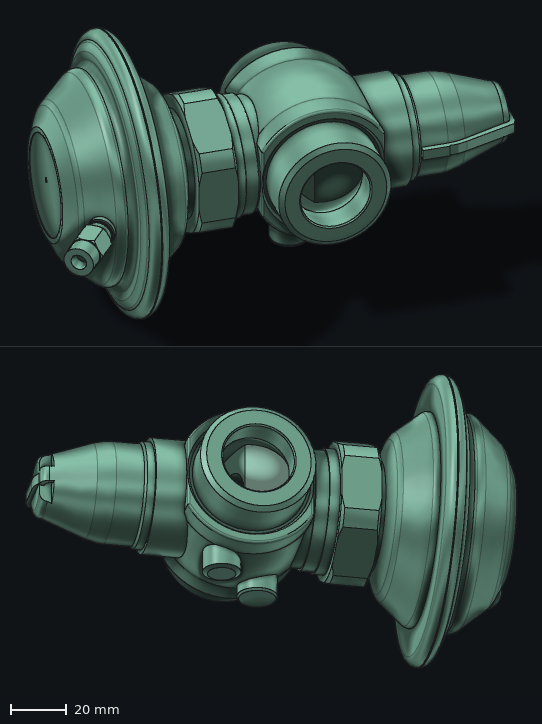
import math

import cadquery as cq


CAP_END_Y = 74.3
CAP_END_RADIUS = 8.7
CAP_CORNER_Y = 71.4
CAP_CORNER_RADIUS = 11.5
CAP_CONE_Y = 55.0
CAP_CONE_RADIUS = 17.3
CAP_SIDE_Y = 48.2
CAP_RADIUS = 18.5
CAP_BOTTOM_Y = 38.0
COLLAR_RADIUS = 19.5
COLLAR_CHAMFER = 1.0
COLLAR_BOTTOM_Y = 34.2

FIN_WIDTH = 4.0
FIN_TOP_Y = 76.0
FIN_PAD_RADIUS = 20.8
FIN_RADIUS = 20.2
FIN_STRAIGHT_Y = 51.3
FIN_START = (-7.0, 74.1)
FIN_RISE = (-4.2, 75.4)
FIN_TOP_START_X = -1.1
FIN_TOP_END_X = 10.2
FIN_CORNER = (12.7, 74.8)
FIN_CONE_RADIUS = 19.3

EYE_FLOOR_Y = 69.7
EYE_WALL_X = -7.0
EYE_HANDLE_WIDTH = 5.8
EYE_HANDLE_THICKNESS = 1.6

STEM_RADIUS = 21.1
STEM_BOTTOM_Y = -24.0
NECK_RADIUS = 22.0
NECK_BOTTOM_Y = -29.0
FLANGE_RADIUS = 22.8
JOINT_Y = -32.8

BARREL_RADIUS = 29.0
BARREL_HALF_LENGTH = 14.0
SHOULDER_RADIUS = 26.8
SHOULDER_X = 23.0
SHOULDER_HALF_HEIGHT = 23.1
SHOULDER_FILLET = 1.0
PORT_RADIUS = 21.1
PORT_X = 37.7
PORT_CHAMFER_LENGTH = 1.3
PORT_CHAMFER_DEPTH = 2.0
RECESS_RADIUS = 23.3
RECESS_FLOOR_RADIUS = 22.2
RECESS_DEPTH = 1.6
BORE_RADIUS = 13.1
BORE_CHAMFER = 0.5

CHAMBER_X = 27.3
CHAMBER_RADIUS = 19.1
SEAT_RADIUS = 11.0
WEB_TOP_Y = 6.5
WEB_HALF_OUTLINE = [(-21.8, -18.2), (-11.8, 0), (11.8, WEB_TOP_Y), (18.2, 19.1)]

REAR_PLUG = (-8.2, 7.8, 7.0, -32.8, 0.7, 1.8)
FRONT_PLUG = (8.2, -8.4, 7.3, -33.1, 1.0, 0.5)

NUT_ACROSS_FLATS = 50.5
NUT_CORNER_RADIUS = 27.3
NUT_BOTTOM_Y = -47.5
NUT_CHAMFER_LENGTH = 1.1
NUT_CHAMFER_DEPTH = 1.6

SPIGOT_RADIUS = 20.2
DOME_TOP_Y = -49.9
RIM_TOP_Y = -66.3
RIM_THICKNESS = 7.5
RIM_RADIUS = 53.0
SEAM_WIDTH = 0.4
SEAM_DEPTH = 0.5
DOME_BOTTOM_Y = -97.5
UPPER_BEND_START = (28.0, -52.6)
UPPER_BEND_END = (30.8, -54.3)
UPPER_CONE_END = (38.5, -63.7)
UPPER_FOOT_RADIUS = 39.1
FLARE_START = (48.5, -74.3)
FLARE_MIDDLE = (47.0, -75.2)
FLARE_END = (45.3, -75.7)
THROAT_START_RADIUS = 42.2
THROAT_MIDDLE = (40.5, -76.8)
THROAT_BOTTOM = (39.7, -78.6)
BULGE_START = (39.9, -79.5)
BULGE_MIDDLE = (39.7, -81.2)
BULGE_END = (38.8, -82.8)
LOWER_BEND_START = (30.5, -92.3)
LOWER_BEND_END = (28.5, -94.0)
END_RADIUS = 21.3
END_RECESS_RADIUS = 19.3
END_RECESS_DEPTH = 0.4
VENT_RADIUS = 1.0
VENT_Z = 2.2
VENT_DEPTH = 3.6

TIP_X = 54.0
TIP_Y = -101.8
CONNECTOR_ANGLE = 38.0
TIP_RADIUS = 5.6
TIP_LENGTH = 6.4
HEX_ACROSS_FLATS = 11.7
HEX_TURN = 30.0
HEX_END = 16.7
HEX_CHAMFER = 0.7
THROAT_RADIUS = 5.0
THROAT_END = 20.4
RING_RADIUS = 5.3
RING_WIDTH = 0.7
GROOVE_RADIUS = 4.4
GROOVE_WIDTH = 1.1
CONNECTOR_LENGTH = 29.1
TUBE_HOLE_RADIUS = 3.0
TUBE_HOLE_DEPTH = 5.5


def cylinder_y(radius, start_y, end_y):
    """Solid cylinder on the Y axis."""
    return cq.Workplane("XZ", origin=(0, start_y, 0)).circle(radius).extrude(start_y - end_y)


def turn_y(sketch):
    """Revolve an outline in the XY plane about the Y axis."""
    return sketch.close().revolve(360, (0, 0, 0), (0, 1, 0))


def turn_x(sketch):
    """Revolve an outline in the XY plane about the X axis."""
    return sketch.close().revolve(360, (0, 0, 0), (1, 0, 0))


def cap_outline(inset):
    """Half section of the cap, with its end and sides moved inward by the inset."""
    return (
        cq.Workplane("XY")
        .moveTo(0, CAP_BOTTOM_Y)
        .lineTo(0, CAP_END_Y - inset)
        .lineTo(CAP_END_RADIUS - inset, CAP_END_Y - inset)
        .tangentArcPoint((CAP_CORNER_RADIUS - inset, CAP_CORNER_Y), relative=False)
        .lineTo(CAP_CONE_RADIUS - inset, CAP_CONE_Y)
        .tangentArcPoint((CAP_RADIUS - inset, CAP_SIDE_Y), relative=False)
        .lineTo(CAP_RADIUS - inset, CAP_BOTTOM_Y)
    )


def eye_corner(width):
    """Block of the given width over the corner of the cap that holds the seal eye."""
    return cq.Workplane("XY").box(
        CAP_RADIUS, CAP_END_Y, width, centered=(False, False, True)
    ).translate((EYE_WALL_X - CAP_RADIUS, EYE_FLOOR_Y, 0))


def make_fin():
    """Rib that runs over the cap end and down its +X side."""
    return (
        cq.Workplane("XY")
        .moveTo(*FIN_START)
        .threePointArc(FIN_RISE, (FIN_TOP_START_X, FIN_TOP_Y))
        .lineTo(FIN_TOP_END_X, FIN_TOP_Y)
        .lineTo(*FIN_CORNER)
        .lineTo(FIN_CONE_RADIUS, CAP_CONE_Y)
        .lineTo(FIN_RADIUS, FIN_STRAIGHT_Y)
        .lineTo(FIN_RADIUS, CAP_SIDE_Y)
        .lineTo(FIN_PAD_RADIUS, CAP_SIDE_Y)
        .lineTo(FIN_PAD_RADIUS, CAP_BOTTOM_Y)
        .lineTo(0, CAP_BOTTOM_Y)
        .lineTo(0, CAP_CORNER_Y)
        .close()
        .extrude(FIN_WIDTH / 2, both=True)
    )


def make_cap():
    """Turned cap with its fin and an eye for a seal wire."""
    cap = turn_y(cap_outline(0))
    handle = cap.cut(turn_y(cap_outline(EYE_HANDLE_THICKNESS))).intersect(eye_corner(EYE_HANDLE_WIDTH))
    cap = cap.cut(eye_corner(2 * CAP_RADIUS)).union(handle)
    return cap.union(make_fin())


def make_stem():
    """Turned housing from the cap down to the joint with the union nut."""
    return turn_y(
        cq.Workplane("XY").polyline([
            (0, CAP_BOTTOM_Y),
            (COLLAR_RADIUS - COLLAR_CHAMFER, CAP_BOTTOM_Y),
            (COLLAR_RADIUS, CAP_BOTTOM_Y - COLLAR_CHAMFER),
            (COLLAR_RADIUS, COLLAR_BOTTOM_Y),
            (STEM_RADIUS, COLLAR_BOTTOM_Y),
            (STEM_RADIUS, STEM_BOTTOM_Y),
            (NECK_RADIUS, STEM_BOTTOM_Y),
            (NECK_RADIUS, NECK_BOTTOM_Y),
            (FLANGE_RADIUS, NECK_BOTTOM_Y),
            (FLANGE_RADIUS, JOINT_Y),
            (0, JOINT_Y),
        ])
    )


def make_shoulder():
    """Disc from the middle out to +X, flat on both Y sides, with a recess round the port."""
    disc = cq.Workplane("YZ").circle(SHOULDER_RADIUS).extrude(SHOULDER_X)
    flats = cq.Workplane("XY").box(4 * SHOULDER_X, 2 * SHOULDER_HALF_HEIGHT, 4 * SHOULDER_RADIUS)
    shoulder = disc.intersect(flats).faces(">X").edges().fillet(SHOULDER_FILLET)
    recess_floor_x = SHOULDER_X - RECESS_DEPTH
    recess = turn_x(
        cq.Workplane("XY").polyline([
            (SHOULDER_X, 0),
            (SHOULDER_X, RECESS_RADIUS),
            (recess_floor_x, RECESS_FLOOR_RADIUS),
            (recess_floor_x, 0),
        ])
    )
    return shoulder.cut(recess)


def make_body():
    """Barrel with a flatted shoulder and a port on each end."""
    barrel = turn_x(
        cq.Workplane("XY")
        .moveTo(-BARREL_HALF_LENGTH, 0)
        .lineTo(-BARREL_HALF_LENGTH, SHOULDER_RADIUS)
        .threePointArc((0, BARREL_RADIUS), (BARREL_HALF_LENGTH, SHOULDER_RADIUS))
        .lineTo(BARREL_HALF_LENGTH, 0)
    )
    shoulder = make_shoulder()
    shoulders = shoulder.union(shoulder.mirror("YZ"))
    ports = turn_x(
        cq.Workplane("XY").polyline([
            (-PORT_X, 0),
            (-PORT_X, PORT_RADIUS - PORT_CHAMFER_DEPTH),
            (-PORT_X + PORT_CHAMFER_LENGTH, PORT_RADIUS),
            (PORT_X - PORT_CHAMFER_LENGTH, PORT_RADIUS),
            (PORT_X, PORT_RADIUS - PORT_CHAMFER_DEPTH),
            (PORT_X, 0),
        ])
    )
    return barrel.union(shoulders).union(ports)


def make_flow_passage():
    """Space for the flow: both bores and the chamber, less the web that holds the seat."""
    mouth_x = PORT_X - BORE_CHAMFER
    passage = turn_x(
        cq.Workplane("XY")
        .moveTo(-PORT_X, 0)
        .lineTo(-PORT_X, BORE_RADIUS + BORE_CHAMFER)
        .lineTo(-mouth_x, BORE_RADIUS)
        .lineTo(-CHAMBER_X, BORE_RADIUS)
        .threePointArc((0, CHAMBER_RADIUS), (CHAMBER_X, BORE_RADIUS))
        .lineTo(mouth_x, BORE_RADIUS)
        .lineTo(PORT_X, BORE_RADIUS + BORE_CHAMFER)
        .lineTo(PORT_X, 0)
    )
    turned_half = [(-x, -y) for x, y in WEB_HALF_OUTLINE]
    web = (
        cq.Workplane("XY")
        .polyline(WEB_HALF_OUTLINE + turned_half)
        .close()
        .extrude(2 * CHAMBER_RADIUS, both=True)
    )
    seat = cylinder_y(SEAT_RADIUS, WEB_TOP_Y, -WEB_TOP_Y)
    return passage.cut(web.cut(seat))


def make_plug(place_x, place_y, radius, end_z, chamfer_length, chamfer_depth):
    """Round plug that stands out of the underside of the body."""
    root_z = -SHOULDER_HALF_HEIGHT
    plug = cq.Workplane("XY", origin=(place_x, place_y, end_z)).circle(radius).extrude(root_z - end_z)
    return plug.faces("<Z").chamfer(chamfer_length, chamfer_depth)


def make_valve():
    """First body: cap, stem, ported body and plugs, with the flow passage cut through."""
    valve = make_stem().union(make_cap()).union(make_body())
    for plug in (REAR_PLUG, FRONT_PLUG):
        valve = valve.union(make_plug(*plug))
    return valve.cut(make_flow_passage())


def make_nut():
    """Hexagon with a flat on each X side, its corners turned down and chamfered."""
    hexagon = (
        cq.Workplane("XZ", origin=(0, JOINT_Y, 0))
        .polygon(6, NUT_ACROSS_FLATS, circumscribed=True)
        .extrude(JOINT_Y - NUT_BOTTOM_Y)
    )
    blank = turn_y(
        cq.Workplane("XY").polyline([
            (0, JOINT_Y),
            (NUT_CORNER_RADIUS - NUT_CHAMFER_DEPTH, JOINT_Y),
            (NUT_CORNER_RADIUS, JOINT_Y - NUT_CHAMFER_LENGTH),
            (NUT_CORNER_RADIUS, NUT_BOTTOM_Y + NUT_CHAMFER_LENGTH),
            (NUT_CORNER_RADIUS - NUT_CHAMFER_DEPTH, NUT_BOTTOM_Y),
            (0, NUT_BOTTOM_Y),
        ])
    )
    return hexagon.intersect(blank)


def make_housing():
    """Turned diaphragm housing: upper dome, round rim and lower dome."""
    rim_round = RIM_THICKNESS / 2
    rim_middle_y = RIM_TOP_Y - rim_round
    rim_bottom_y = RIM_TOP_Y - RIM_THICKNESS
    rim_flat_radius = RIM_RADIUS - rim_round
    housing = turn_y(
        cq.Workplane("XY")
        .moveTo(0, NUT_BOTTOM_Y)
        .lineTo(SPIGOT_RADIUS, NUT_BOTTOM_Y)
        .lineTo(SPIGOT_RADIUS, DOME_TOP_Y)
        .lineTo(*UPPER_BEND_START)
        .tangentArcPoint(UPPER_BEND_END, relative=False)
        .lineTo(*UPPER_CONE_END)
        .tangentArcPoint((UPPER_FOOT_RADIUS, RIM_TOP_Y), relative=False)
        .lineTo(rim_flat_radius, RIM_TOP_Y)
        .threePointArc((RIM_RADIUS, rim_middle_y), (rim_flat_radius, rim_bottom_y))
        .lineTo(*FLARE_START)
        .threePointArc(FLARE_MIDDLE, FLARE_END)
        .lineTo(THROAT_START_RADIUS, FLARE_END[1])
        .threePointArc(THROAT_MIDDLE, THROAT_BOTTOM)
        .lineTo(*BULGE_START)
        .threePointArc(BULGE_MIDDLE, BULGE_END)
        .lineTo(*LOWER_BEND_START)
        .tangentArcPoint(LOWER_BEND_END, relative=False)
        .lineTo(END_RADIUS, DOME_BOTTOM_Y)
        .lineTo(0, DOME_BOTTOM_Y)
    )
    seam_top_y = rim_middle_y + SEAM_WIDTH / 2
    seam_bottom_y = rim_middle_y - SEAM_WIDTH / 2
    seam = cylinder_y(RIM_RADIUS, seam_top_y, seam_bottom_y).cut(
        cylinder_y(RIM_RADIUS - SEAM_DEPTH, seam_top_y, seam_bottom_y)
    )
    end_recess = cylinder_y(END_RECESS_RADIUS, DOME_BOTTOM_Y + END_RECESS_DEPTH, DOME_BOTTOM_Y)
    vent = cylinder_y(VENT_RADIUS, DOME_BOTTOM_Y + VENT_DEPTH, DOME_BOTTOM_Y).translate((0, 0, VENT_Z))
    return housing.cut(seam).cut(end_recess).cut(vent)


def make_connector():
    """Pipe connector with its tip at the origin, then turned and moved onto the lower dome."""
    hexagon = (
        cq.Workplane("YZ", origin=(TIP_LENGTH, 0, 0))
        .polygon(6, HEX_ACROSS_FLATS, circumscribed=True)
        .extrude(HEX_END - TIP_LENGTH)
        .rotate((0, 0, 0), (1, 0, 0), HEX_TURN)
    )
    corner_radius = HEX_ACROSS_FLATS / math.sqrt(3)
    blank = (
        cq.Workplane("YZ", origin=(TIP_LENGTH, 0, 0))
        .circle(corner_radius)
        .extrude(HEX_END - TIP_LENGTH)
        .faces("<X or >X")
        .chamfer(HEX_CHAMFER)
    )
    ring_end = THROAT_END + RING_WIDTH
    groove_end = ring_end + GROOVE_WIDTH
    turned = turn_x(
        cq.Workplane("XY").polyline([
            (0, 0),
            (0, TIP_RADIUS),
            (TIP_LENGTH, TIP_RADIUS),
            (TIP_LENGTH, THROAT_RADIUS),
            (THROAT_END, THROAT_RADIUS),
            (THROAT_END, RING_RADIUS),
            (ring_end, RING_RADIUS),
            (ring_end, GROOVE_RADIUS),
            (groove_end, GROOVE_RADIUS),
            (groove_end, RING_RADIUS),
            (CONNECTOR_LENGTH, RING_RADIUS),
            (CONNECTOR_LENGTH, 0),
        ])
    )
    tube_hole = cq.Workplane("YZ").circle(TUBE_HOLE_RADIUS).extrude(TUBE_HOLE_DEPTH)
    connector = turned.union(hexagon.intersect(blank)).cut(tube_hole)
    return connector.rotate((0, 0, 0), (0, 0, 1), 180 - CONNECTOR_ANGLE).translate((TIP_X, TIP_Y, 0))


def make_actuator():
    """Second body: union nut, diaphragm housing and pipe connector."""
    return make_nut().union(make_housing()).union(make_connector())


valve = make_valve()
actuator = make_actuator()
result = cq.Compound.makeCompound([valve.solids().val(), actuator.solids().val()])